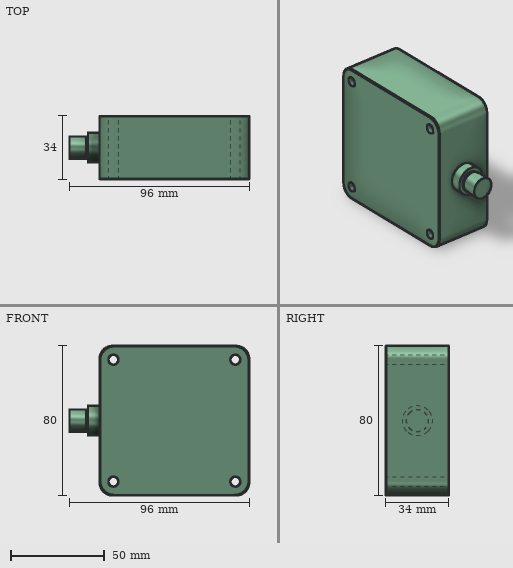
import cadquery as cq

side = 80.0
thickness = 34.0
corner_radius = 7.5
edge_chamfer = 0.5

hole_diameter = 5.2
hole_spacing = side - 2 * corner_radius

overall_length = 96.0
collar_diameter = 16.0
collar_length = 6.0
neck_diameter = 11.4
neck_length = 1.0
plug_diameter = 12.0
plug_length = overall_length - side - collar_length - neck_length


def make_housing():
    """Rounded block with chamfered front and back rims and four through holes."""
    block = (
        cq.Workplane("XZ")
        .rect(side, side)
        .extrude(thickness / 2, both=True)
        .edges("|Y")
        .fillet(corner_radius)
        .faces("<Y or >Y")
        .chamfer(edge_chamfer)
    )
    holes = (
        cq.Workplane("XZ")
        .rect(hole_spacing, hole_spacing, forConstruction=True)
        .vertices()
        .circle(hole_diameter / 2)
        .extrude(thickness, both=True)
    )
    return block.cut(holes)


def make_connector():
    """Coaxial collar, neck and plug, stacked outward from the housing wall."""
    steps = [
        (collar_diameter, collar_length),
        (neck_diameter, neck_length),
        (plug_diameter, plug_length),
    ]
    connector = cq.Workplane("YZ")
    start_x = -side / 2
    for diameter, length in steps:
        step = cq.Workplane("YZ", origin=(start_x, 0, 0)).circle(diameter / 2).extrude(-length)
        connector = connector.add(step)
        start_x -= length
    return connector.combine()


result = make_housing().union(make_connector())